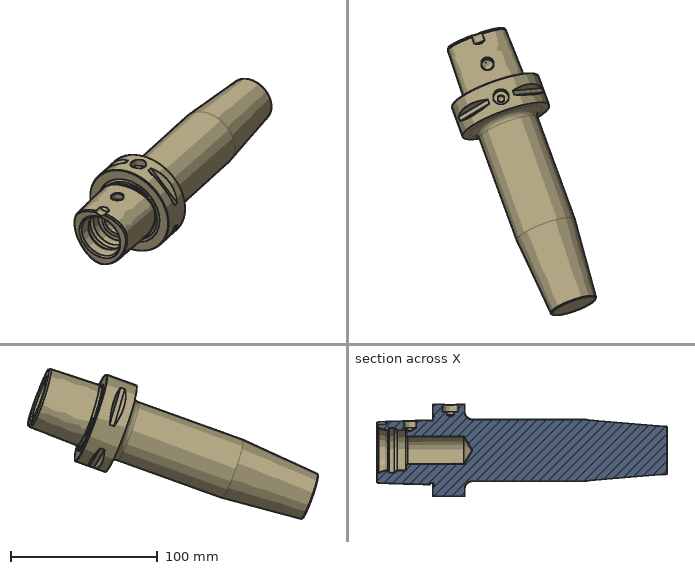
import cadquery as cq
import math

total_length = 198.0
shank_length = 38.0
body_end = total_length - shank_length

flange_radius = 31.5
flange_width = 22.0
flange_chamfer = 0.4
gripper_centre = 12.0

body_radius = 21.2
body_fillet = 5.1
nose_radius = 16.5
nose_length = 56.8
nose_chamfer = 0.5

shank_width = 44.2
shank_radius = shank_width / 2
lobe_height = 1.4
shank_taper = 1 / 40
profile_points = 72
tip_chamfer_length = 1.4
tip_chamfer_depth = 0.5
neck_length = 2.0
neck_straight = 0.8
neck_radius = 22.4
neck_inset = 0.2

groove_inner_radius = 22.4
groove_outer_radius = 24.4
groove_depth = 0.8

mouth_radius = 16.5
mouth_chamfer = 1.2
lip_radius = 13.7
lip_start = 6.0
lip_end = 7.3
lock_groove_radius = 15.2
lock_groove_start = 8.5
lock_groove_end = 11.9
chamber_start = 13.9
chamber_depth = 19.8
drill_radius = 10.5
drill_chamfer = 1.2
drill_depth = 59.4
drill_point_angle = 118.0

slot_count = 4
slot_floor_distance = 27.7
slot_floor_width = 3.2
slot_mouth_width = 8.0

chip_pocket_radius = 5.3
chip_pocket_depth = 5.1
chip_pilot_radius = 2.4
chip_pilot_depth = 2.0
dimple_radius = 4.2
dimple_chamfer = 0.4
dimple_rim = 20.2
dimple_centre = -15.5
dimple_floor = 15.5

notch_radius = 5.0
notch_axis_height = 22.8
notch_length = 6.1
notch_point_length = 3.5


def point_height(radius):
    """Length of the conical point left by a drill of the given radius."""
    return radius / math.tan(math.radians(drill_point_angle / 2))


def revolve_y(outline):
    """Solid of revolution about Y from (radius, y) points."""
    return cq.Workplane("XY").polyline(outline).close().revolve(360, (0, 0, 0), (0, 1, 0))


def polygon_wire(radius, y):
    """Three-lobed shank profile at position y; its width is 2 * radius everywhere."""
    points = []
    for i in range(profile_points):
        angle = 2 * math.pi * i / profile_points
        reach = radius + lobe_height * math.sin(3 * angle)
        slope = 3 * lobe_height * math.cos(3 * angle)
        x = reach * math.cos(angle) - slope * math.sin(angle)
        z = reach * math.sin(angle) + slope * math.cos(angle)
        points.append(cq.Vector(x, y, z))
    return cq.Wire.assembleEdges([cq.Edge.makeSpline(points, periodic=True)])


def polygon_frustum(radius_a, y_a, radius_b, y_b):
    """Solid between two polygon profiles at different positions along Y."""
    wires = [polygon_wire(radius_a, y_a), polygon_wire(radius_b, y_b)]
    return cq.Workplane(cq.Solid.makeLoft(wires, True))


def drill_down(radius, y, z_top, z_floor):
    """Cutter along -Z: a cylinder to z_floor followed by a drill point."""
    outline = [(0, z_top), (radius, z_top), (radius, z_floor), (0, z_floor - point_height(radius))]
    cutter = cq.Workplane("XZ").polyline(outline).close().revolve(360, (0, 0, 0), (0, 1, 0))
    return cutter.translate((0, y, 0))


def make_body():
    return (
        cq.Workplane("XY")
        .lineTo(flange_radius - flange_chamfer, 0)
        .lineTo(flange_radius, flange_chamfer)
        .lineTo(flange_radius, flange_width)
        .lineTo(body_radius + body_fillet, flange_width)
        .radiusArc((body_radius, flange_width + body_fillet), body_fillet)
        .lineTo(body_radius, body_end - nose_length)
        .lineTo(nose_radius, body_end - nose_chamfer)
        .lineTo(nose_radius - nose_chamfer, body_end)
        .lineTo(0, body_end)
        .close()
        .revolve(360, (0, 0, 0), (0, 1, 0))
    )


def make_shank():
    tip_radius = shank_radius - shank_taper * shank_length
    chamfer_y = tip_chamfer_length - shank_length
    cone = polygon_frustum(shank_radius, -neck_length, tip_radius, chamfer_y)
    tip = polygon_frustum(tip_radius, chamfer_y, tip_radius - tip_chamfer_depth, -shank_length)
    neck_profile = shank_radius - neck_inset
    neck = polygon_frustum(neck_profile, flange_chamfer, neck_profile, -neck_length)
    neck_limit = revolve_y(
        [
            (0, flange_width),
            (neck_radius, flange_width),
            (neck_radius, -neck_straight),
            (shank_radius + lobe_height, -neck_length),
            (0, -neck_length),
        ]
    )
    return cone.union(tip).union(neck.intersect(neck_limit))


def relief_groove():
    middle_radius = (groove_inner_radius + groove_outer_radius) / 2
    return (
        cq.Workplane("XY")
        .moveTo(groove_inner_radius, 0)
        .threePointArc((middle_radius, groove_depth), (groove_outer_radius, 0))
        .close()
        .revolve(360, (0, 0, 0), (0, 1, 0))
    )


def shank_bore():
    narrow_radius = drill_radius - drill_chamfer
    depth_outline = [
        (0, 0),
        (mouth_radius, 0),
        (mouth_radius - mouth_chamfer, mouth_chamfer),
        (lip_radius, lip_start),
        (lip_radius, lip_end),
        (lock_groove_radius, lock_groove_start),
        (lock_groove_radius, lock_groove_end),
        (lip_radius, chamber_start),
        (lip_radius, chamber_depth),
        (drill_radius, chamber_depth),
        (narrow_radius, chamber_depth + drill_chamfer),
        (narrow_radius, drill_depth),
        (0, drill_depth + point_height(narrow_radius)),
    ]
    return revolve_y([(radius, depth - shank_length) for radius, depth in depth_outline])


def gripper_slot(angle):
    """Straight trapezoidal slot across the flange rim, facing the given angle from +X."""
    half_floor = slot_floor_width / 2
    half_mouth = slot_mouth_width / 2
    outline = [
        (slot_floor_distance, gripper_centre - half_floor),
        (flange_radius, gripper_centre - half_mouth),
        (flange_radius, gripper_centre + half_mouth),
        (slot_floor_distance, gripper_centre + half_floor),
    ]
    slot = cq.Workplane("XY").polyline(outline).close().extrude(flange_radius, both=True)
    return slot.rotate((0, 0, 0), (0, 1, 0), angle)


def chip_pocket():
    floor = flange_radius - chip_pocket_depth
    pocket = (
        cq.Workplane("XY", origin=(0, gripper_centre, floor))
        .circle(chip_pocket_radius)
        .extrude(2 * chip_pocket_depth)
    )
    return pocket.union(drill_down(chip_pilot_radius, gripper_centre, floor, floor - chip_pilot_depth))


def dimple():
    """Blind drilled hole in the shank with a 45 degree countersunk rim."""
    rim_radius = dimple_radius + dimple_chamfer
    countersink = (
        cq.Workplane("XY", origin=(0, dimple_centre, dimple_rim - dimple_chamfer))
        .circle(dimple_radius)
        .workplane(offset=dimple_chamfer)
        .circle(rim_radius)
        .loft(ruled=True)
        .faces(">Z")
        .workplane()
        .circle(rim_radius)
        .extrude(flange_radius - dimple_rim)
    )
    return countersink.union(drill_down(dimple_radius, dimple_centre, flange_radius, dimple_floor))


def orientation_notch():
    """Round-bottomed groove along Y with a conical inner end."""
    floor_end = notch_length - shank_length
    notch = revolve_y(
        [
            (0, -shank_length),
            (notch_radius, -shank_length),
            (notch_radius, floor_end),
            (0, floor_end + notch_point_length),
        ]
    )
    return notch.translate((0, 0, notch_axis_height))


result = make_body().cut(relief_groove()).union(make_shank())
result = result.cut(shank_bore())
for i in range(slot_count):
    result = result.cut(gripper_slot(360 / slot_count * (i + 0.5)))
result = result.cut(chip_pocket())
result = result.cut(dimple())
result = result.cut(orientation_notch())